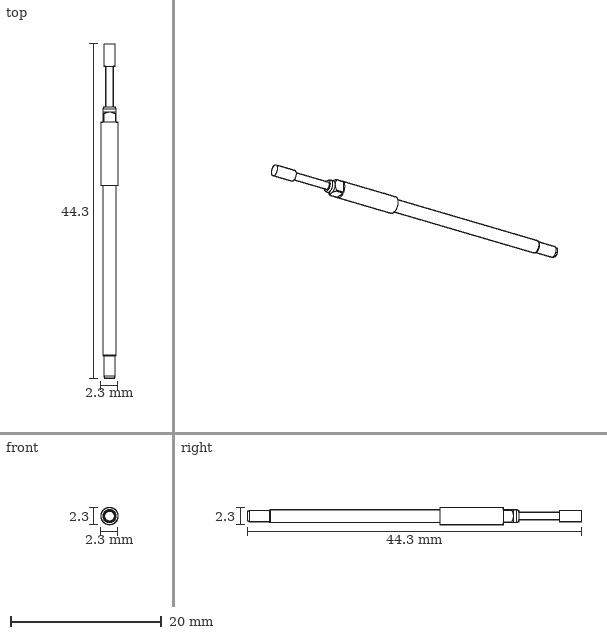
import cadquery as cq

body_diameter = 2.3
barrel_diameter = 1.73
head_diameter = 1.5
plunger_diameter = 1.0
tail_diameter = 1.5

overall_length = 44.3
tail_length = 2.95
barrel_length = 22.55
body_length = 8.4
square_length = 1.35
collar_length = 0.4
taper_length = 0.3
head_length = 2.95

tail_end_chamfer_length = 0.3
tail_end_chamfer_depth = 0.11
barrel_end_chamfer_length = 0.15
barrel_end_chamfer_depth = 0.05
across_flats = 1.73
square_lead_in = 0.2

tail_end = -overall_length / 2
barrel_start = tail_end + tail_length
body_start = barrel_start + barrel_length
square_start = body_start + body_length
collar_start = square_start + square_length
taper_start = collar_start + collar_length
plunger_start = taper_start + taper_length
head_end = overall_length / 2
head_start = head_end - head_length


def cylinder(diameter, start, end):
    """Solid cylinder on the Y axis between two stations."""
    return (
        cq.Workplane("XZ", origin=(0, start, 0))
        .circle(diameter / 2)
        .extrude(start - end)
    )


def cone(start_diameter, end_diameter, start, end):
    """Solid truncated cone on the Y axis between two stations."""
    return (
        cq.Workplane("XY")
        .polyline([(0, start), (start_diameter / 2, start), (end_diameter / 2, end), (0, end)])
        .close()
        .revolve(360, (0, 0, 0), (0, 1, 0))
    )


def tail():
    pin = cylinder(tail_diameter, tail_end, barrel_start)
    return pin.faces("<Y").chamfer(tail_end_chamfer_length, tail_end_chamfer_depth)


def barrel():
    tube = cylinder(barrel_diameter, barrel_start, body_start)
    return tube.faces("<Y").chamfer(barrel_end_chamfer_length, barrel_end_chamfer_depth)


def square_section():
    """Four flats on the body diameter, with a conical lead-in towards the collar."""
    lead_in_start = collar_start - square_lead_in
    blank = cylinder(body_diameter, square_start, lead_in_start)
    blank = blank.union(cone(body_diameter, barrel_diameter, lead_in_start, collar_start))
    flats = cq.Workplane("XY").box(across_flats, overall_length, across_flats)
    return blank.intersect(flats)


result = (
    tail()
    .union(barrel())
    .union(cylinder(body_diameter, body_start, square_start))
    .union(square_section())
    .union(cylinder(barrel_diameter, collar_start, taper_start))
    .union(cone(barrel_diameter, head_diameter, taper_start, plunger_start))
    .union(cylinder(plunger_diameter, plunger_start, head_start))
    .union(cylinder(head_diameter, head_start, head_end))
)